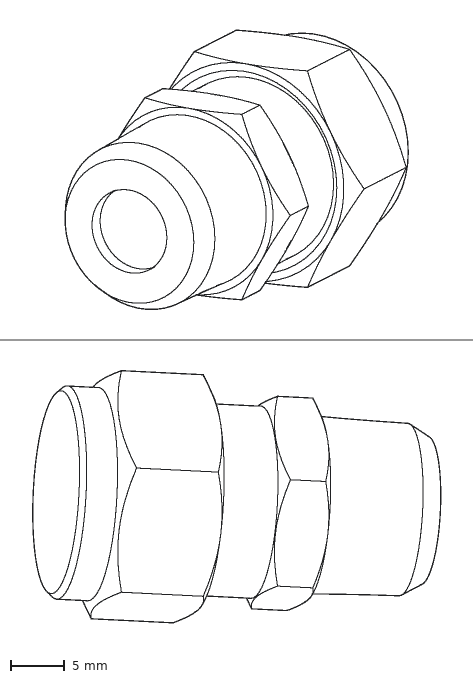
import cadquery as cq
import math

length = 35.0
tip_chamfer_end = 1.95
body_hex_start = 11.0
body_hex_end = 16.0
nut_start = 21.5
nut_end = 31.5
rim_length = 0.55

tip_diameter = 13.8
thread_small_diameter = 16.03
thread_large_diameter = 16.55
neck_diameter = 17.85
collar_diameter = 19.8
nut_mouth_diameter = 19.5
bore_diameter = 8.0
bore_depth = 1.5

body_hex_flats = 18.0
nut_flats = 21.0
hex_chamfer_angle = 30.0
nut_mouth_angle = 45.0
rim_inset = 0.5


def revolve_profile(points):
    """Revolve (radius, station) points around the Y axis."""
    return cq.Workplane("XY").polyline(points).close().revolve(360, (0, 0, 0), (0, 1, 0))


def chamfered_hex(flats, start, end, start_diameter, end_diameter):
    """Hexagon with corners along X, its ends turned down to conical chamfers."""
    corner_radius = flats / math.sqrt(3)
    slope = math.tan(math.radians(hex_chamfer_angle))
    prism = (
        cq.Workplane("XZ", origin=(0, start, 0))
        .polygon(6, 2 * corner_radius)
        .extrude(start - end)
    )
    start_drop = (corner_radius - start_diameter / 2) * slope
    end_drop = (corner_radius - end_diameter / 2) * slope
    envelope = revolve_profile([
        (0, start),
        (start_diameter / 2, start),
        (corner_radius, start + start_drop),
        (corner_radius, end - end_drop),
        (end_diameter / 2, end),
        (0, end),
    ])
    return prism.intersect(envelope)


turned_body = revolve_profile([
    (0, 0),
    (tip_diameter / 2, 0),
    (thread_small_diameter / 2, tip_chamfer_end),
    (thread_large_diameter / 2, body_hex_start),
    (neck_diameter / 2, body_hex_start),
    (neck_diameter / 2, nut_start),
    (collar_diameter / 2, nut_start),
    (collar_diameter / 2, length - rim_length),
    (collar_diameter / 2 - rim_inset, length),
    (0, length),
])

body_hex = chamfered_hex(body_hex_flats, body_hex_start, body_hex_end, body_hex_flats, neck_diameter)
nut = chamfered_hex(nut_flats, nut_start, nut_end, nut_flats, collar_diameter)

nut_mouth_depth = (nut_mouth_diameter - neck_diameter) / 2 / math.tan(math.radians(nut_mouth_angle))
nut_mouth = revolve_profile([
    (neck_diameter / 2, nut_start),
    (nut_mouth_diameter / 2, nut_start),
    (neck_diameter / 2, nut_start + nut_mouth_depth),
])

bore = cq.Workplane("XZ").circle(bore_diameter / 2).extrude(-bore_depth)

result = turned_body.union(body_hex).union(nut).cut(nut_mouth).cut(bore)